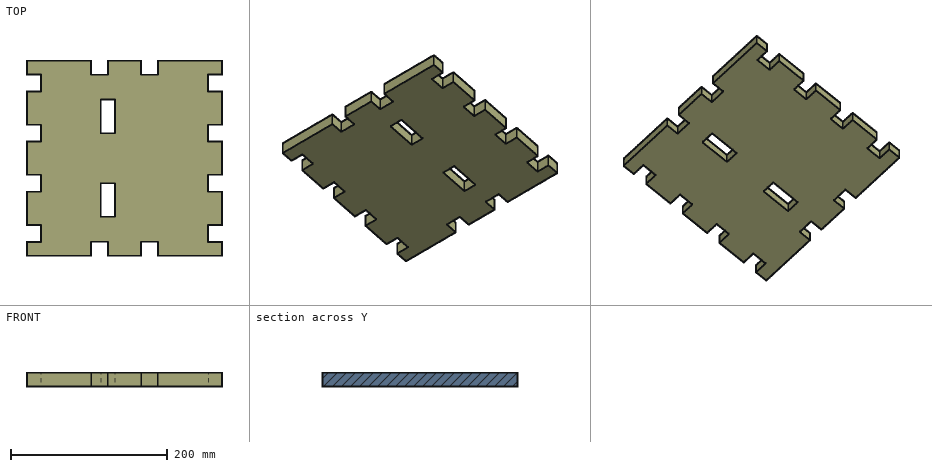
import cadquery as cq

panel_side = 250.0
thickness = 18.0

notch_depth = thickness
inner_span = panel_side - 2 * notch_depth
notch_widths_per_span = 10
notch_width = inner_span / notch_widths_per_span
tab_width = 2 * notch_width
notch_pitch = notch_width + tab_width

notches_per_x_side = 4
notches_per_y_side = 2

slot_count = 2
slot_width = thickness
slot_length = tab_width
slot_x = -notch_width
slot_spacing = inner_span / slot_count


def centered_positions(count, pitch):
    """Evenly spaced positions, symmetric about zero."""
    return [(i - (count - 1) / 2) * pitch for i in range(count)]


def cut_through(body, size_x, size_y, centers):
    """Cut the same rectangle through the full thickness at each center."""
    cutter = cq.Workplane("XY").pushPoints(centers).rect(size_x, size_y).extrude(thickness)
    return body.cut(cutter)


def cut_edge_notches(body):
    """Cut the open notches along all four edges."""
    edge_offset = (panel_side - notch_depth) / 2
    for side in (-1, 1):
        edge = side * edge_offset
        x_side_centers = [(edge, y) for y in centered_positions(notches_per_x_side, notch_pitch)]
        y_side_centers = [(x, edge) for x in centered_positions(notches_per_y_side, notch_pitch)]
        body = cut_through(body, notch_depth, notch_width, x_side_centers)
        body = cut_through(body, notch_width, notch_depth, y_side_centers)
    return body


def cut_slots(body):
    """Cut the rectangular slots, in line along Y."""
    slot_centers = [(slot_x, y) for y in centered_positions(slot_count, slot_spacing)]
    return cut_through(body, slot_width, slot_length, slot_centers)


panel = cq.Workplane("XY").box(panel_side, panel_side, thickness, centered=(True, True, False))
panel = cut_edge_notches(panel)
result = cut_slots(panel)